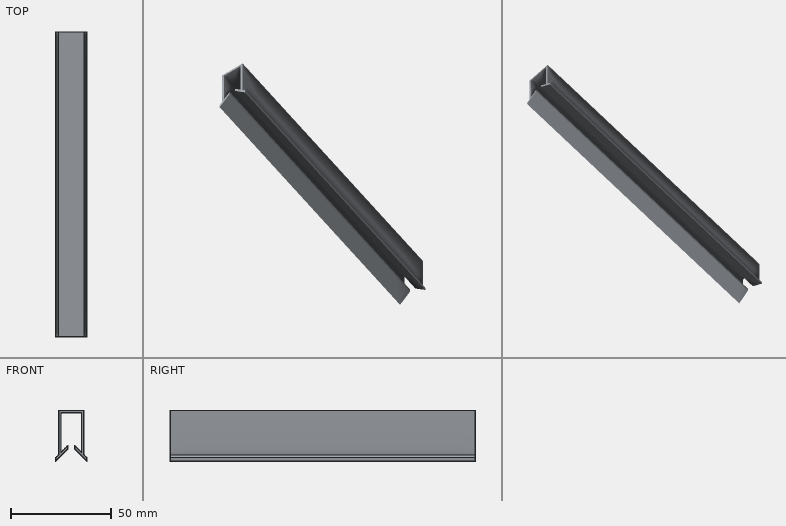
import cadquery as cq
import math

length = 152.4
overall_width = 15.64
overall_height = 25.42

sheet_thickness = 1.27
channel_width = 12.7
lip_gap = 3.3
lip_slope = math.tan(math.radians(45))

outer_tip_x = overall_width / 2
inner_tip_x = lip_gap / 2
wall_outer_x = channel_width / 2
wall_inner_x = wall_outer_x - sheet_thickness

lip_end_height = sheet_thickness * math.hypot(1, lip_slope)


def lip_bottom(x):
    """Height of a lip's underside at distance x from the symmetry plane."""
    return (outer_tip_x - x) * lip_slope


def lip_top(x):
    """Height of a lip's upper face at distance x from the symmetry plane."""
    return lip_bottom(x) + lip_end_height


half_outline = [
    (wall_outer_x, overall_height),
    (wall_outer_x, lip_top(wall_outer_x)),
    (outer_tip_x, lip_top(outer_tip_x)),
    (outer_tip_x, lip_bottom(outer_tip_x)),
    (inner_tip_x, lip_bottom(inner_tip_x)),
    (inner_tip_x, lip_top(inner_tip_x)),
    (wall_inner_x, lip_top(wall_inner_x)),
    (wall_inner_x, overall_height - sheet_thickness),
]
mirrored_outline = [(-x, z) for x, z in reversed(half_outline)]

result = (
    cq.Workplane("XZ")
    .polyline(half_outline + mirrored_outline)
    .close()
    .extrude(length / 2, both=True)
)